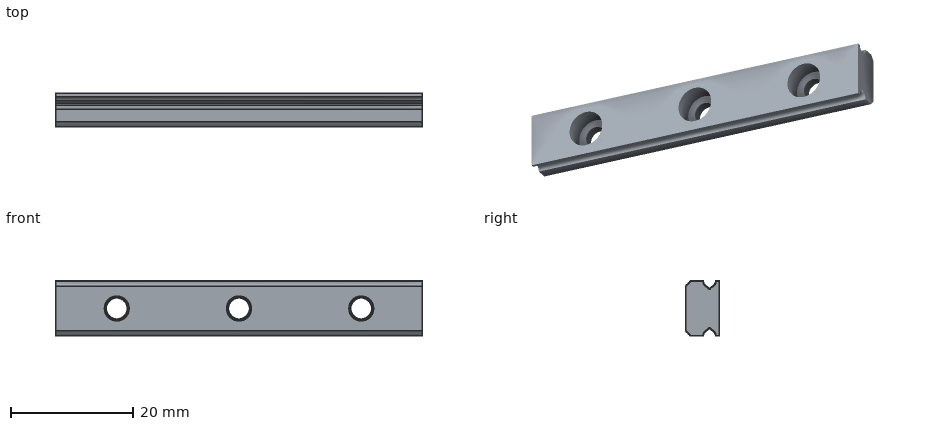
import cadquery as cq
import math

length = 60.0
depth = 5.5
height = 9.0

bevel = 0.85

groove_radius = 1.0
groove_offset = 1.6
relief_half_width = 0.35
relief_tip_depth = 1.3

hole_count = 3
hole_diameter = 3.5
countersink_diameter = 4.0
countersink_angle = 90.0
counterbore_diameter = 6.0
counterbore_depth = 3.5

front = -depth / 2
back = depth / 2
groove_y = back - groove_offset
hole_pitch = length / hole_count


def body():
    """Bar with both front edges bevelled."""
    half_height = height / 2
    upper_half = [
        (front, half_height - bevel),
        (front + bevel, half_height),
        (back, half_height),
    ]
    lower_half = [(y, -z) for y, z in reversed(upper_half)]
    return (
        cq.Workplane("YZ")
        .polyline(upper_half + lower_half)
        .close()
        .extrude(length / 2, both=True)
    )


def top_groove():
    """Cutter for the groove centred on the top face."""
    relief_top = math.sqrt(groove_radius**2 - relief_half_width**2)
    channel = cq.Workplane("YZ").center(groove_y, height / 2).circle(groove_radius)
    relief = (
        cq.Workplane("YZ")
        .center(groove_y, height / 2)
        .polyline([
            (-relief_half_width, -relief_top),
            (0, -relief_tip_depth),
            (relief_half_width, -relief_top),
        ])
        .close()
    )
    return channel.extrude(length / 2, both=True).union(relief.extrude(length / 2, both=True))


def hole_centres(rail, face):
    """Evenly pitched points along the middle of the front or back face."""
    return (
        rail.faces(face)
        .workplane(centerOption="CenterOfBoundBox")
        .rarray(hole_pitch, 0.6, hole_count, 1)
    )


def cut_holes(rail):
    """Through holes with a countersink at the front and a counterbore at the back."""
    drilled = hole_centres(rail, "<Y").cskHole(hole_diameter, countersink_diameter, countersink_angle)
    return hole_centres(drilled, ">Y").hole(counterbore_diameter, counterbore_depth)


groove = top_groove()
grooved_rail = body().cut(groove).cut(groove.mirror("XY"))
result = cut_holes(grooved_rail)